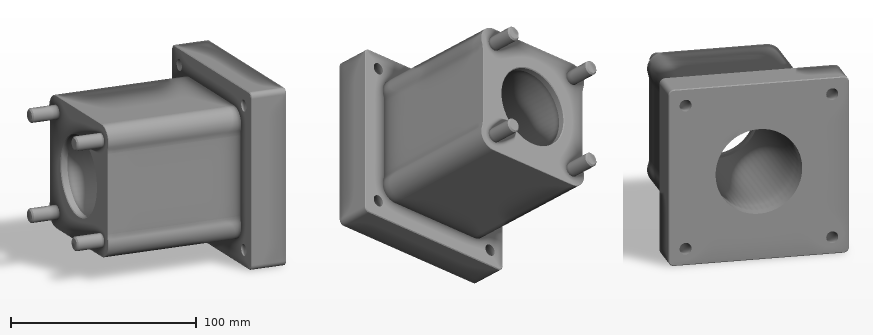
import cadquery as cq
import math

plate_side = 100.0
plate_thickness = 21.0
plate_corner_radius = 3.0
plate_edge_chamfer = 0.5
bolt_hole_diameter = 6.6
bolt_offset = 40.6

block_height = 74.7
block_length = 79.0
block_waist = 72.6
corner_radius = 8.7
blend_radius = 8.7
block_end_chamfer = 0.2

pin_diameter = 8.0
pin_offset = 28.2
pin_tip_chamfer = 0.8
total_length = 116.0
pin_length = total_length - plate_thickness - block_length

bore_diameter = 48.0
lip_diameter = 45.0
lip_length = 4.0
lip_chamfer = 0.5

plate_front = -plate_thickness
block_front = plate_front - block_length


def section_plane(y):
    """Workplane at the given Y with local axes X, Z, extruding toward -Y."""
    return cq.Workplane("XZ", origin=(0, y, 0))


def square_points(offset):
    return [(x, z) for x in (-offset, offset) for z in (-offset, offset)]


def make_plate():
    plate = section_plane(0).rect(plate_side, plate_side).extrude(plate_thickness)
    plate = plate.edges("|Y").fillet(plate_corner_radius)
    return plate.faces("<Y or >Y").edges().chamfer(plate_edge_chamfer)


def make_block():
    """Each corner is a convex arc running into a concave arc tangent to the flat side."""
    top = block_height / 2
    waist = block_waist / 2
    center = top - corner_radius
    centers_distance = corner_radius + blend_radius
    angle = math.acos((waist + blend_radius - center) / centers_distance)
    blend_z = center - centers_distance * math.sin(angle)

    def corner_point(direction):
        return (
            center + corner_radius * math.cos(direction),
            center + corner_radius * math.sin(direction),
        )

    arc_middle = corner_point((math.pi / 2 - angle) / 2)
    arc_end = corner_point(-angle)
    blend_middle = (
        waist + blend_radius * (1 - math.cos(angle / 2)),
        blend_z + blend_radius * math.sin(angle / 2),
    )
    quarter = (
        section_plane(plate_front)
        .lineTo(0, top)
        .lineTo(center, top)
        .threePointArc(arc_middle, arc_end)
        .threePointArc(blend_middle, (waist, blend_z))
        .lineTo(waist, 0)
        .close()
        .extrude(block_length)
    )
    half = quarter.union(quarter.mirror("YZ"))
    block = half.union(half.mirror("XY")).clean()
    return block.faces("<Y").edges().chamfer(block_end_chamfer)


def make_pins():
    pins = section_plane(block_front).pushPoints(square_points(pin_offset))
    pins = pins.circle(pin_diameter / 2).extrude(pin_length)
    return pins.faces("<Y").edges().chamfer(pin_tip_chamfer)


def make_bore():
    bore_length = plate_thickness + block_length - lip_length
    bore = section_plane(0).circle(bore_diameter / 2).extrude(bore_length)
    lip = section_plane(-bore_length).circle(lip_diameter / 2).extrude(lip_length)
    flare_start = block_front + lip_chamfer
    flare = (
        section_plane(flare_start)
        .circle(lip_diameter / 2)
        .workplane(offset=lip_chamfer)
        .circle(lip_diameter / 2 + lip_chamfer)
        .loft()
    )
    return bore.union(lip).union(flare)


def make_bolt_holes():
    holes = section_plane(0).pushPoints(square_points(bolt_offset))
    return holes.circle(bolt_hole_diameter / 2).extrude(plate_thickness)


result = make_plate().union(make_block()).union(make_pins())
result = result.cut(make_bore()).cut(make_bolt_holes())